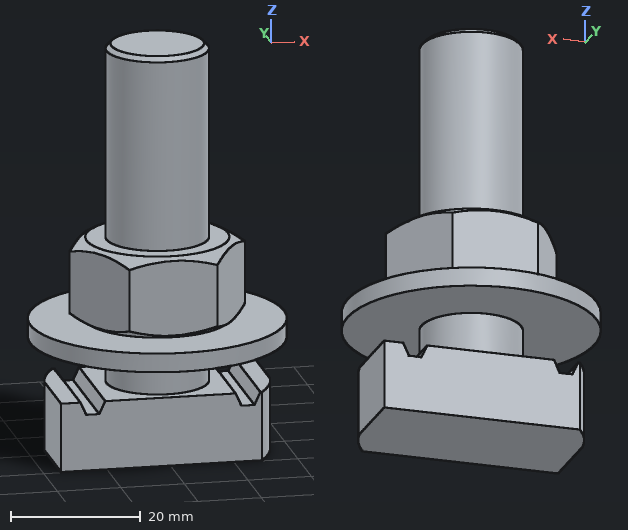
import cadquery as cq
import math

total_height = 65.0
shank_diameter = 16.0
shank_chamfer = 0.8

head_length = 34.45
head_corner_radius = 17.4
head_width = 19.5
head_height = 11.0
groove_offset = 12.2
groove_top_width = 3.9
groove_floor_width = 2.0
groove_depth = 2.0

washer_diameter = 40.0
washer_thickness = 3.0
washer_bottom = 18.0

nut_sides = 6
nut_flats = 24.0
nut_height = 13.0
nut_face_diameter = 22.2
nut_chamfer_angle = 30.0

washer_top = washer_bottom + washer_thickness


def make_head():
    """Rectangular T-head with two opposite corners rounded about the bolt axis."""
    half_length = head_length / 2
    half_width = head_width / 2
    arc_start_y = math.sqrt(head_corner_radius**2 - half_length**2)
    arc_end_x = math.sqrt(head_corner_radius**2 - half_width**2)
    arc_start_angle = math.asin(arc_start_y / head_corner_radius)
    arc_end_angle = math.asin(half_width / head_corner_radius)
    arc_mid_angle = (arc_start_angle + arc_end_angle) / 2
    arc_mid_x = head_corner_radius * math.cos(arc_mid_angle)
    arc_mid_y = head_corner_radius * math.sin(arc_mid_angle)
    head = (
        cq.Workplane("XY")
        .moveTo(-half_length, -half_width)
        .lineTo(arc_end_x, -half_width)
        .threePointArc((arc_mid_x, -arc_mid_y), (half_length, -arc_start_y))
        .lineTo(half_length, half_width)
        .lineTo(-arc_end_x, half_width)
        .threePointArc((-arc_mid_x, arc_mid_y), (-half_length, arc_start_y))
        .close()
        .extrude(head_height)
    )
    for side in (-1, 1):
        head = head.cut(make_groove(side * groove_offset))
    return head


def make_groove(center_x):
    """Tapered groove cutter running across the full head width."""
    floor_z = head_height - groove_depth
    return (
        cq.Workplane("XZ")
        .polyline([
            (center_x - groove_top_width / 2, head_height),
            (center_x - groove_floor_width / 2, floor_z),
            (center_x + groove_floor_width / 2, floor_z),
            (center_x + groove_top_width / 2, head_height),
        ])
        .close()
        .extrude(head_width, both=True)
    )


def make_shank():
    """Plain cylinder with a chamfered free end."""
    return (
        cq.Workplane("XY")
        .circle(shank_diameter / 2)
        .extrude(total_height)
        .faces(">Z")
        .chamfer(shank_chamfer)
    )


def make_washer():
    return (
        cq.Workplane("XY")
        .workplane(offset=washer_bottom)
        .circle(washer_diameter / 2)
        .extrude(washer_thickness)
    )


def make_nut():
    """Hexagon with corners along X, trimmed by a cone at both ends."""
    across_corners = nut_flats / math.cos(math.pi / nut_sides)
    face_radius = nut_face_diameter / 2
    corner_radius = across_corners / 2
    chamfer_drop = (corner_radius - face_radius) * math.tan(math.radians(nut_chamfer_angle))
    hexagon = cq.Workplane("XY").polygon(nut_sides, across_corners).extrude(nut_height)
    envelope = (
        cq.Workplane("XZ")
        .polyline([
            (0, 0),
            (face_radius, 0),
            (corner_radius, chamfer_drop),
            (corner_radius, nut_height - chamfer_drop),
            (face_radius, nut_height),
            (0, nut_height),
        ])
        .close()
        .revolve(360, (0, 0, 0), (0, 1, 0))
    )
    return hexagon.intersect(envelope).translate((0, 0, washer_top))


result = make_head().union(make_shank()).union(make_washer()).union(make_nut())